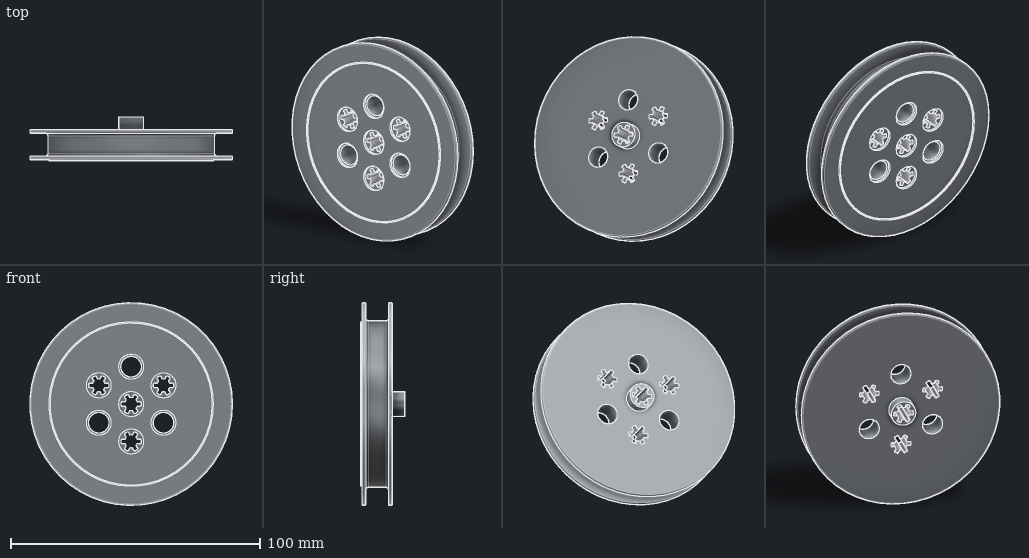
import cadquery as cq
import math

pulley_diameter = 81.4
total_length = 17.75
boss_length = 5.0
ridge_height = 0.5

groove_diameter = 67.0
flange_thickness = 1.6
flange_edge_radius = 0.5
groove_corner_radius = 1.0

ridge_diameter = 66.0
ridge_width = 0.5
ridge_edge_radius = 0.2
boss_diameter = 10.0

hole_circle_radius = 15.0
holes_on_circle = 6
first_hole_angle = 90.0
plain_hole_diameter = 8.2
counterbore_diameter = 10.0
counterbore_depth = 1.0

spline_slots = 6
spline_core_diameter = 5.1
spline_span = 8.05
slot_mouth_width = 1.5
slot_end_width = 1.85
slot_corner_radius = 0.45
spline_tooth_radius = 0.45

rim_width = total_length - boss_length - ridge_height
front_edge_y = -ridge_height
rim_front_y = 0.0
rim_back_y = rim_width
boss_end_y = rim_back_y + boss_length
groove_front_y = rim_front_y + flange_thickness
groove_back_y = rim_back_y - flange_thickness


def disc(diameter, y_start, y_end, center=(0.0, 0.0)):
    """Cylinder along Y between two Y positions, centred at an (X, Z) point."""
    plane = cq.Workplane("XZ", origin=(0, y_start, 0))
    return plane.center(*center).circle(diameter / 2).extrude(y_start - y_end)


def make_flange(y_start, y_end):
    """Rim disc with rounded outer edges."""
    return disc(pulley_diameter, y_start, y_end).edges("%CIRCLE").fillet(flange_edge_radius)


def make_groove_floor():
    """Drum between the flanges, flaring into both of them with round corners."""
    drum_radius = groove_diameter / 2
    flare_radius = drum_radius + groove_corner_radius
    profile = (
        cq.Workplane("XY")
        .moveTo(0, groove_front_y)
        .lineTo(flare_radius, groove_front_y)
        .radiusArc((drum_radius, groove_front_y + groove_corner_radius), groove_corner_radius)
        .lineTo(drum_radius, groove_back_y - groove_corner_radius)
        .radiusArc((flare_radius, groove_back_y), groove_corner_radius)
        .lineTo(0, groove_back_y)
        .close()
    )
    return profile.revolve(360, (0, 0, 0), (0, 1, 0))


def make_face_ridge():
    """Narrow rounded ring standing on the front face."""
    ring = disc(ridge_diameter, front_edge_y, rim_front_y)
    ring = ring.cut(disc(ridge_diameter - 2 * ridge_width, front_edge_y, rim_front_y))
    return ring.faces("<Y").edges().fillet(ridge_edge_radius)


def make_slot():
    """Spline slot along +X, widening from the core circle to a flat end with round corners."""
    core_radius = spline_core_diameter / 2
    end_radius = spline_span / 2
    mouth_x = math.sqrt(core_radius**2 - (slot_mouth_width / 2) ** 2)
    slot = (
        cq.Workplane("XZ", origin=(0, rim_front_y, 0))
        .moveTo(0, -slot_mouth_width / 2)
        .lineTo(mouth_x, -slot_mouth_width / 2)
        .lineTo(end_radius, -slot_end_width / 2)
        .lineTo(end_radius, slot_end_width / 2)
        .lineTo(mouth_x, slot_mouth_width / 2)
        .lineTo(0, slot_mouth_width / 2)
        .close()
        .extrude(rim_front_y - boss_end_y)
    )
    return slot.faces(">X").edges("|Y").fillet(slot_corner_radius)


def lies_on_core(edge):
    """True for an edge where a slot side meets the core circle."""
    center = edge.Center()
    return math.isclose(math.hypot(center.x, center.z), spline_core_diameter / 2, rel_tol=0.01)


def make_spline_cutter():
    """Six-slot bar on the pulley axis, as long as the body and boss together."""
    cutter = disc(spline_core_diameter, rim_front_y, boss_end_y)
    slot = make_slot()
    for index in range(spline_slots):
        cutter = cutter.union(slot.rotate((0, 0, 0), (0, 1, 0), index * 360 / spline_slots))
    return cutter.edges("|Y").filter(lies_on_core).fillet(spline_tooth_radius)


def hole_position(index):
    """(X, Z) centre of a hole on the hole circle."""
    angle = math.radians(first_hole_angle + index * 360 / holes_on_circle)
    return (hole_circle_radius * math.cos(angle), hole_circle_radius * math.sin(angle))


circle_positions = [hole_position(index) for index in range(holes_on_circle)]
plain_positions = circle_positions[0::2]
splined_positions = [(0.0, 0.0)] + circle_positions[1::2]

body = make_groove_floor()
body = body.union(make_flange(rim_front_y, groove_front_y))
body = body.union(make_flange(groove_back_y, rim_back_y))
body = body.union(make_face_ridge())
body = body.union(disc(boss_diameter, rim_back_y, boss_end_y))

counterbore_floor_y = rim_front_y + counterbore_depth
for position in plain_positions + splined_positions:
    body = body.cut(disc(counterbore_diameter, rim_front_y, counterbore_floor_y, position))

for position in plain_positions:
    body = body.cut(disc(plain_hole_diameter, rim_front_y, rim_back_y, position))

spline_cutter = make_spline_cutter()
for x, z in splined_positions:
    body = body.cut(spline_cutter.translate((x, 0, z)))

result = body